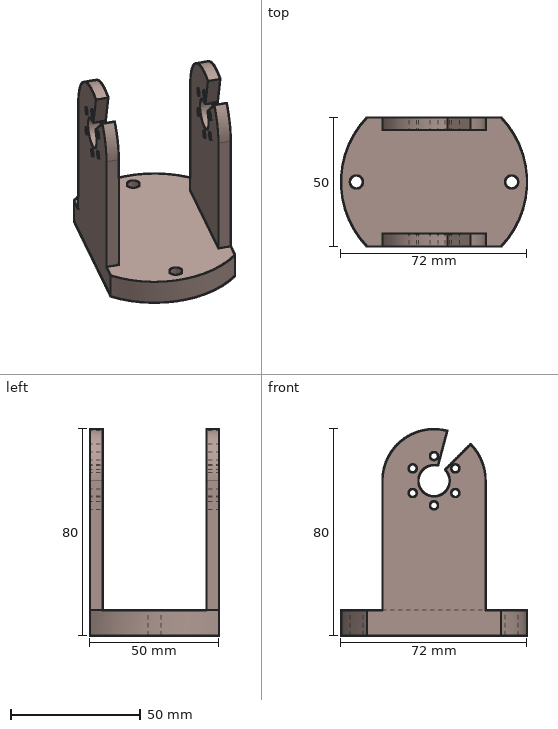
import cadquery as cq
import math

base_thickness = 10.0
base_radius = 36.0
depth = 50.0
mount_hole_diameter = 5.0
mount_hole_spacing = 60.0

total_height = 80.0
plate_width = 40.0
plate_thickness = base_thickness / 2
plate_radius = plate_width / 2
bore_height = total_height - plate_radius

bore_diameter = 12.0
screw_hole_diameter = 3.0
screw_circle_diameter = 19.0
screw_count = 6
wedge_start_angle = 45.0
wedge_end_angle = 75.0
wedge_reach = 2 * plate_radius


def make_base():
    disc = cq.Workplane("XY").circle(base_radius).extrude(base_thickness)
    flats = cq.Workplane("XY").box(
        2 * base_radius, depth, base_thickness, centered=(True, True, False)
    )
    mount_holes = (
        cq.Workplane("XY")
        .pushPoints([(-mount_hole_spacing / 2, 0), (mount_hole_spacing / 2, 0)])
        .circle(mount_hole_diameter / 2)
        .extrude(base_thickness)
    )
    return disc.intersect(flats).cut(mount_holes)


def plate_sketch_plane(front_y):
    """XZ plane at the plate's front face, with its origin on the bore axis."""
    return cq.Workplane("XZ", origin=(0, front_y, bore_height))


def wedge_point(angle):
    return (
        wedge_reach * math.cos(math.radians(angle)),
        wedge_reach * math.sin(math.radians(angle)),
    )


def make_plate(front_y):
    plane = plate_sketch_plane(front_y)
    foot = base_thickness - bore_height
    plate = (
        plane.moveTo(-plate_radius, foot)
        .lineTo(plate_radius, foot)
        .lineTo(plate_radius, 0)
        .threePointArc((0, plate_radius), (-plate_radius, 0))
        .close()
        .extrude(-plate_thickness)
    )
    bore = plane.circle(bore_diameter / 2).extrude(-plate_thickness)
    screw_holes = (
        plane.polarArray(screw_circle_diameter / 2, 90, 360, screw_count)
        .circle(screw_hole_diameter / 2)
        .extrude(-plate_thickness)
    )
    wedge = (
        plane.polyline([(0, 0), wedge_point(wedge_start_angle), wedge_point(wedge_end_angle)])
        .close()
        .extrude(-plate_thickness)
    )
    return plate.cut(bore).cut(screw_holes).cut(wedge)


result = make_base()
for front_y in (-depth / 2, depth / 2 - plate_thickness):
    result = result.union(make_plate(front_y))